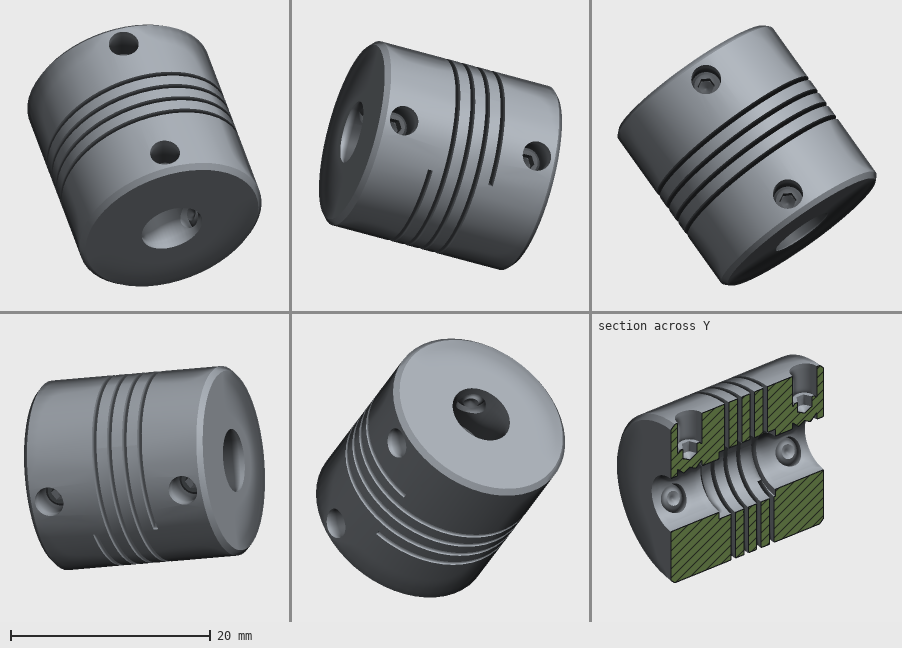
import cadquery as cq
import math

FULL_TURN = 360

OUTER_DIAMETER = 19.1
LENGTH = 19.1
EDGE_CHAMFER = 0.5
BORE_DIAMETER = 6.35

SLOT_WIDTH = 0.5
SLOT_PITCH = 1.613
SLOT_TURNS = 4
SLOT_START_ANGLE = -55
SLOT_OVERCUT = 0.5
RELIEF_DIAMETER = 8.0

SCREW_END_DISTANCE = 2.4
Z_ANGLE = 90
SCREW_ANGLES = (Z_ANGLE, Z_ANGLE - FULL_TURN / 3)
SCREW_DIAMETER = 3.0
SCREW_LENGTH = 3.0
SCREW_HEAD_CHAMFER = 0.3
SCREW_TIP_DIAMETER = 1.5
CONE_ANGLE = 120
SOCKET_ACROSS_FLATS = 1.5
SOCKET_DEPTH = 1.2
SOCKET_TURN = FULL_TURN / 12

outer_radius = OUTER_DIAMETER / 2
bore_radius = BORE_DIAMETER / 2
relief_radius = RELIEF_DIAMETER / 2
screw_radius = SCREW_DIAMETER / 2
slot_span = SLOT_PITCH * SLOT_TURNS
relief_length = slot_span + SLOT_WIDTH


def cylinder_on_x(radius, length):
    """Cylinder along X, centred on the origin."""
    return cq.Workplane("YZ").circle(radius).extrude(length / 2, both=True)


def make_body():
    """Chamfered cylinder with its bore and the wider relief in the middle."""
    body = cylinder_on_x(outer_radius, LENGTH).edges("%CIRCLE").chamfer(EDGE_CHAMFER)
    body = body.cut(cylinder_on_x(bore_radius, LENGTH))
    return body.cut(cylinder_on_x(relief_radius, relief_length))


def make_slot_turn(index):
    """One turn of the right-handed helical band, swept about Z and then turned onto X."""
    inner = relief_radius - SLOT_OVERCUT
    outer = outer_radius + SLOT_OVERCUT
    middle = (inner + outer) / 2
    helix = cq.Wire.makeHelix(SLOT_PITCH, SLOT_PITCH, middle)
    band = (
        cq.Workplane("XZ")
        .center(middle, 0)
        .rect(outer - inner, SLOT_WIDTH)
        .sweep(cq.Workplane(obj=helix), isFrenet=True)
    )
    band = band.rotate((0, 0, 0), (1, 1, 1), FULL_TURN / 3)
    band = band.rotate((0, 0, 0), (1, 0, 0), SLOT_START_ANGLE)
    return band.translate((index * SLOT_PITCH - slot_span / 2, 0, 0))


def place_on_hub(shape, x, angle):
    """Turn a shape built along +Z to the given angle about X and move it along X."""
    return shape.rotate((0, 0, 0), (1, 0, 0), angle - Z_ANGLE).translate((x, 0, 0))


def make_screw_hole():
    """Radial hole along +Z from the bore axis through the outer surface."""
    return cq.Workplane("XY").circle(screw_radius).extrude(outer_radius)


def make_screw():
    """Cup-point set screw along +Z, its tip flush with the bore wall."""
    tip_radius = SCREW_TIP_DIAMETER / 2
    socket_radius = SOCKET_ACROSS_FLATS / 2
    cone_slope = 1 / math.tan(math.radians(CONE_ANGLE / 2))
    tip = bore_radius
    head = tip + SCREW_LENGTH
    socket_floor = head - SOCKET_DEPTH

    screw = (
        cq.Workplane("XZ")
        .moveTo(0, tip + tip_radius * cone_slope)
        .lineTo(tip_radius, tip)
        .lineTo(screw_radius, tip + screw_radius - tip_radius)
        .lineTo(screw_radius, head - SCREW_HEAD_CHAMFER)
        .lineTo(screw_radius - SCREW_HEAD_CHAMFER, head)
        .lineTo(0, head)
        .close()
        .revolve(axisStart=(0, 0, 0), axisEnd=(0, 1, 0))
    )
    socket = (
        cq.Workplane("XY", origin=(0, 0, socket_floor))
        .polygon(6, SOCKET_ACROSS_FLATS, circumscribed=True)
        .extrude(SOCKET_DEPTH)
        .rotate((0, 0, 0), (0, 0, 1), SOCKET_TURN)
    )
    socket_cone = (
        cq.Workplane("XZ")
        .moveTo(0, socket_floor)
        .lineTo(socket_radius, socket_floor)
        .lineTo(0, socket_floor - socket_radius * cone_slope)
        .close()
        .revolve(axisStart=(0, 0, 0), axisEnd=(0, 1, 0))
    )
    return screw.cut(socket).cut(socket_cone)


coupling = make_body()
for turn in range(SLOT_TURNS):
    coupling = coupling.cut(make_slot_turn(turn))

screw_x = LENGTH / 2 - SCREW_END_DISTANCE
for x in (-screw_x, screw_x):
    for angle in SCREW_ANGLES:
        coupling = coupling.cut(place_on_hub(make_screw_hole(), x, angle))
        coupling = coupling.union(place_on_hub(make_screw(), x, angle))

result = coupling